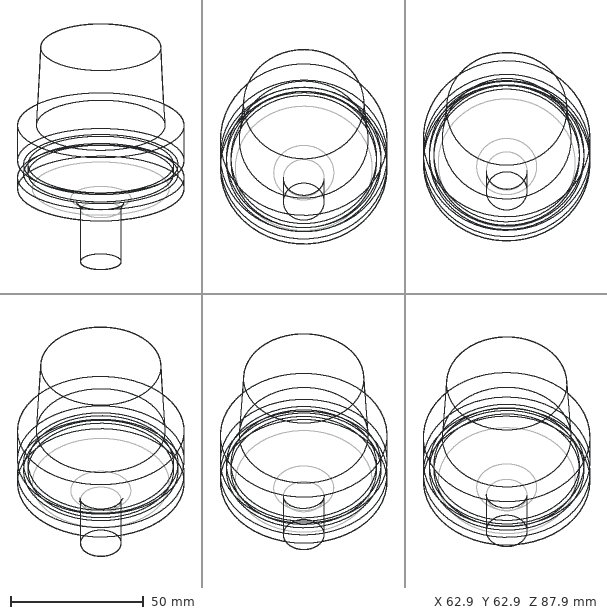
import cadquery as cq
import math

total_length = 87.9
flange_radius = 62.9 / 2

plug_height = 32.0
plug_top_radius = 45.45 / 2
plug_base_radius = 48.6 / 2

groove_radius = 54.9 / 2
upper_rim_height = 14.6
groove_chamfer_height = 1.5
groove_floor_height = 3.7
lower_rim_height = 4.7
groove_chamfer_depth = 2.3

shank_radius = 15.4 / 2
cone_top_radius = 25.8
cone_angle = 15.0
blend_radius = 4.9
selection_margin = 0.1

flange_top = total_length - plug_height
upper_rim_bottom = flange_top - upper_rim_height
groove_top = upper_rim_bottom - groove_chamfer_height
groove_bottom = groove_top - groove_floor_height
lower_rim_top = groove_bottom - groove_chamfer_height
flange_bottom = lower_rim_top - lower_rim_height
groove_mouth_radius = flange_radius - groove_chamfer_depth
cone_drop = (cone_top_radius - shank_radius) * math.tan(math.radians(cone_angle))
cone_bottom = flange_bottom - cone_drop

body = (
    cq.Workplane("XZ")
    .moveTo(0, 0)
    .lineTo(shank_radius, 0)
    .lineTo(shank_radius, cone_bottom)
    .lineTo(cone_top_radius, flange_bottom)
    .lineTo(flange_radius, flange_bottom)
    .lineTo(flange_radius, lower_rim_top)
    .lineTo(groove_mouth_radius, groove_bottom)
    .lineTo(groove_radius, groove_bottom)
    .lineTo(groove_radius, groove_top)
    .lineTo(groove_mouth_radius, groove_top)
    .lineTo(flange_radius, upper_rim_bottom)
    .lineTo(flange_radius, flange_top)
    .lineTo(plug_base_radius, flange_top)
    .lineTo(plug_top_radius, total_length)
    .lineTo(0, total_length)
    .close()
    .revolve(360, (0, 0, 0), (0, 1, 0))
)

result = body.edges(
    cq.selectors.BoxSelector(
        (-flange_radius, -flange_radius, cone_bottom - selection_margin),
        (flange_radius, flange_radius, cone_bottom + selection_margin),
    )
).fillet(blend_radius)